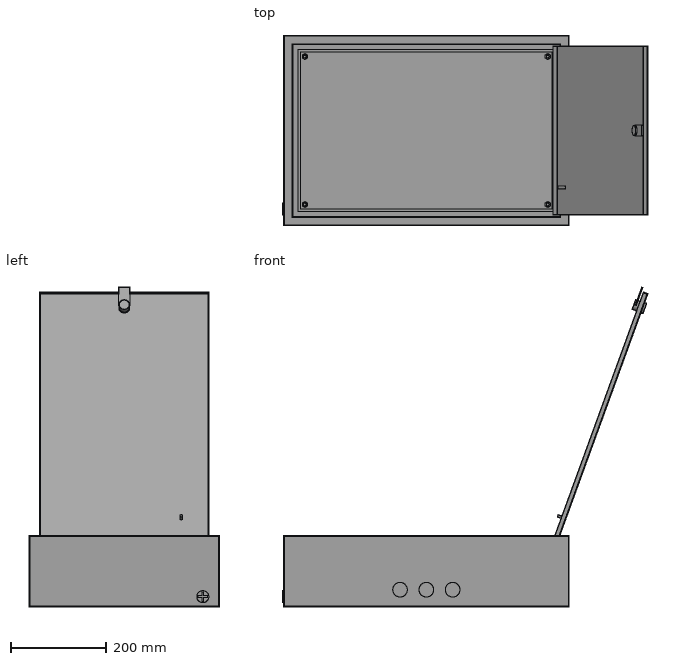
import cadquery as cq
import math

box_length = 600.0
box_width = 400.0
box_height = 150.0
sheet = 1.5
rim_width = 19.0
recess_depth = 14.5
ledge_width = 11.0

entry_diameter = 31.0
entry_pitch = 55.0
entry_count = 3
entry_height = 36.0

terminal_diameter = 25.0
terminal_thickness = 2.0
cross_span = 20.0
cross_slot_width = 4.0
cross_depth = 1.5
terminal_y = -165.0
terminal_z = 21.5

plate_inset = 35.0
plate_height = 15.0
screw_inset = 44.5
screw_head_flats = 11.0
screw_head_height = 4.5
screw_shank_diameter = 6.0
socket_flats = 5.0
socket_depth = 3.0

door_length = 556.0
door_width = 355.5
door_thickness = 10.0
door_lean = 20.0
hinge_gap = 1.0

stud_diameter = 5.0
stud_reach = 8.5
stud_position = 52.0
stud_y = -120.0

latch_from_end = 31.5
barrel_diameter = 21.5
barrel_reach = 10.0
knob_diameter = 23.0
knob_height = 4.5
cam_width = 24.0
cam_thickness = 2.0
cam_gap = 4.5
cam_overhang = 8.5

box_centre_x = box_length / 2
ledge_z = box_height - recess_depth
ledge_inset = rim_width + ledge_width
plate_top = sheet + plate_height
lean = math.radians(door_lean)

hinge_z = ledge_z + hinge_gap + door_thickness * math.sin(lean)

hinge_x = (
    box_length
    - rim_width
    - (box_height - hinge_z) * math.tan(lean)
    - door_thickness / math.cos(lean)
)

door_plane = cq.Plane(
    origin=(hinge_x, 0, hinge_z),
    xDir=(math.sin(lean), 0, math.cos(lean)),
    normal=(math.cos(lean), 0, -math.sin(lean)),
)


def inset_block(inset, bottom, top):
    """Block whose sides lie a given distance inside the outer walls of the housing."""
    return (
        cq.Workplane("XY", origin=(box_centre_x, 0, bottom))
        .rect(box_length - 2 * inset, box_width - 2 * inset)
        .extrude(top - bottom)
    )


def on_door(height):
    """Workplane parallel to the door, at a height above the edge of its flanges."""
    return cq.Workplane(door_plane).workplane(offset=height)


screw_points = [
    (box_centre_x + side_x * (box_length / 2 - screw_inset), side_y * (box_width / 2 - screw_inset))
    for side_x in (-1, 1)
    for side_y in (-1, 1)
]


def make_screw(x, y):
    head = (
        cq.Workplane("XY", origin=(x, y, plate_top))
        .polygon(6, screw_head_flats, circumscribed=True)
        .extrude(screw_head_height)
    )
    socket = (
        cq.Workplane("XY", origin=(x, y, plate_top + screw_head_height))
        .polygon(6, socket_flats, circumscribed=True)
        .extrude(-socket_depth)
    )
    shank = cq.Workplane("XY", origin=(x, y, sheet)).circle(screw_shank_diameter / 2).extrude(plate_height)
    return head.union(shank).cut(socket)


def make_plate():
    plate = inset_block(plate_inset, sheet, plate_top)
    holes = (
        cq.Workplane("XY", origin=(0, 0, sheet))
        .pushPoints(screw_points)
        .circle(screw_shank_diameter / 2)
        .extrude(plate_height)
    )
    return plate.cut(holes)


latch_x = door_length - latch_from_end
panel_inner = door_thickness - sheet


def door_block(inset, bottom, top):
    """Block whose sides lie a given distance inside the edges of the door."""
    return (
        on_door(bottom)
        .center(door_length / 2, 0)
        .rect(door_length - 2 * inset, door_width - 2 * inset)
        .extrude(top - bottom)
    )


def make_door():
    tray = door_block(0, 0, door_thickness).cut(door_block(sheet, 0, panel_inner))
    stud = (
        on_door(-stud_reach)
        .center(stud_position, -stud_y)
        .circle(stud_diameter / 2)
        .extrude(stud_reach + panel_inner)
    )
    latch_hole = on_door(panel_inner).center(latch_x, 0).circle(barrel_diameter / 2).extrude(sheet)
    return tray.union(stud).cut(latch_hole)


def make_latch():
    barrel = (
        on_door(-barrel_reach)
        .center(latch_x, 0)
        .circle(barrel_diameter / 2)
        .extrude(barrel_reach + door_thickness)
    )
    knob = on_door(door_thickness).center(latch_x, 0).circle(knob_diameter / 2).extrude(knob_height)
    cam_length = latch_from_end + cam_overhang
    cam = (
        on_door(-cam_gap)
        .center(latch_x + cam_length / 2, 0)
        .rect(cam_length, cam_width)
        .extrude(-cam_thickness)
    )
    return barrel.union(knob).union(cam)


def make_terminal():
    """Round pad on the -X wall with a cross-shaped recess in its face."""
    terminal = (
        cq.Workplane("YZ", origin=(0, terminal_y, terminal_z))
        .circle(terminal_diameter / 2)
        .extrude(-terminal_thickness)
    )
    for size_y, size_z in ((cross_span, cross_slot_width), (cross_slot_width, cross_span)):
        slot = (
            cq.Workplane("YZ", origin=(-terminal_thickness, terminal_y, terminal_z))
            .rect(size_y, size_z)
            .extrude(cross_depth)
        )
        terminal = terminal.cut(slot)
    return terminal


def make_housing():
    shell = inset_block(0, 0, box_height).cut(inset_block(sheet, sheet, box_height - sheet))
    channel_wall = inset_block(rim_width - sheet, ledge_z - sheet, box_height)
    recess = inset_block(rim_width, ledge_z, box_height)
    opening = inset_block(ledge_inset, ledge_z - sheet, box_height)
    shell = shell.union(channel_wall).cut(recess).cut(opening)
    entries = (
        cq.Workplane("XZ", origin=(box_centre_x, -box_width / 2, entry_height))
        .rarray(entry_pitch, 8, entry_count, 1)
        .circle(entry_diameter / 2)
        .extrude(-sheet)
    )
    return shell.cut(entries).union(make_terminal())


housing = make_housing()
plate = make_plate()
screws = [make_screw(x, y) for x, y in screw_points]
door = make_door()
latch = make_latch()

bodies = [housing, plate, *screws, door, latch]
result = cq.Compound.makeCompound([body.solids().val() for body in bodies])